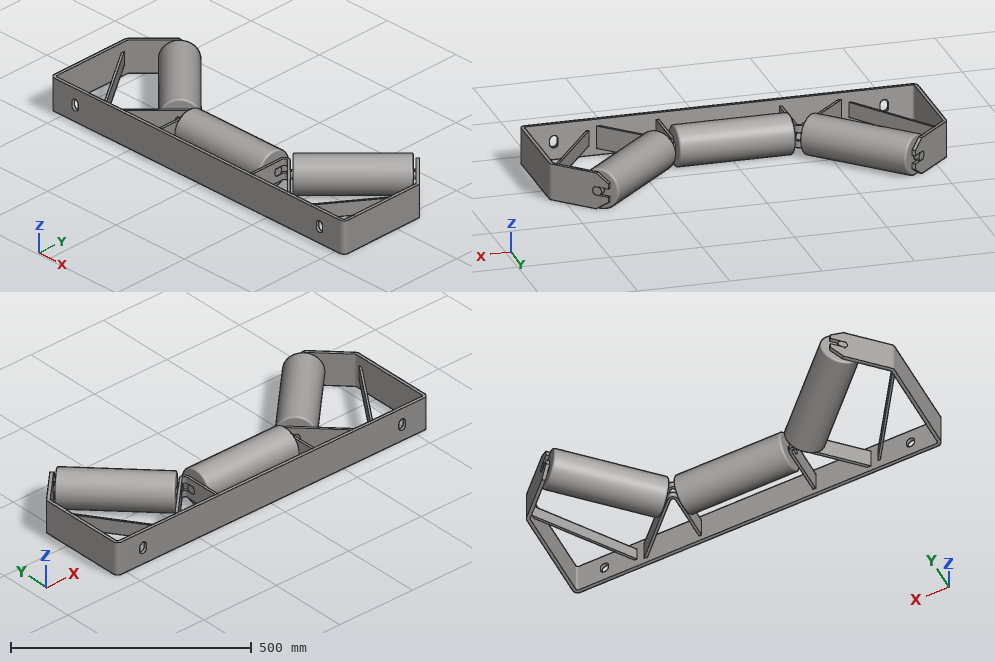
import cadquery as cq
import math


FRAME_LENGTH = 860.0
FRAME_WIDTH = 80.0
FRAME_THICKNESS = 8.0
BEND_RADIUS = 12.0
ARM_REACH = 27.0
TIP_CHAMFER_ALONG = 28.0
TIP_CHAMFER_ACROSS = 19.0
MOUNT_SLOT_SPACING = 715.5
MOUNT_SLOT_LENGTH = 27.5
MOUNT_SLOT_WIDTH = 18.0

ROLLER_DIAMETER = 89.0
ROLLER_LENGTH = 250.0
ROLLER_EDGE_RADIUS = 4.0
ROLLER_GAP = 5.0
TROUGH_ANGLE = 45.0
MID_ROLLER_Y = 101.5
SIDE_ROLLER_X = 254.0
SIDE_ROLLER_Y = 204.0

SHAFT_DIAMETER = 21.0
FLAT_SPACING = 18.0
FLAT_LEAD = 3.0

BRACKET_WIDTH = 50.0
BRACKET_THICKNESS = 6.0

STAY_WIDTH = 33.5
STAY_THICKNESS = 5.0
STAY_TOP_Y = 210.0
STAY_FOOT_X = 281.0

HALF_LENGTH = FRAME_LENGTH / 2
WALL_X = HALF_LENGTH - FRAME_THICKNESS
HALF_SPAN = ROLLER_LENGTH / 2 + ROLLER_GAP
DIAGONAL = math.sqrt(2)


def on_side_axis(along, across=0.0):
    """XY point measured from the middle of the right roller, along its axis and square to it.

    Positive across points towards the belt side of the trough.
    """
    angle = math.radians(TROUGH_ANGLE)
    x = SIDE_ROLLER_X + along * math.cos(angle) - across * math.sin(angle)
    y = SIDE_ROLLER_Y + along * math.sin(angle) + across * math.cos(angle)
    return x, y


def mirrored(points):
    """The same outline points on the left side, in reverse order."""
    return [(-x, y) for x, y in reversed(points)]


def plate(points, width):
    """XY outline extruded by width, centred on Z = 0."""
    return cq.Workplane("XY").polyline(points).close().extrude(width / 2, both=True)


def round_corner(body, point, radius):
    """Fillet the edge parallel to Z that stands on the XY point."""
    return body.edges(cq.selectors.NearestToPointSelector((*point, 0))).fillet(radius)


def place_on_side(body):
    """Move a body from the X axis onto the right roller axis."""
    return body.rotate((0, 0, 0), (0, 0, 1), TROUGH_ANGLE).translate((SIDE_ROLLER_X, SIDE_ROLLER_Y, 0))


def shaft(inner_reach, outer_reach):
    """Shaft along X with two flats at each end, reaching each way from the roller middle."""
    length = inner_reach + outer_reach
    body = cq.Workplane("YZ", origin=(-inner_reach, 0, 0)).circle(SHAFT_DIAMETER / 2).extrude(length)
    flat_start = HALF_SPAN - FLAT_LEAD
    round_middle = cq.Workplane("XY").box(2 * flat_start, SHAFT_DIAMETER, SHAFT_DIAMETER)
    flat_ends = cq.Workplane("XY").box(2 * length, SHAFT_DIAMETER, FLAT_SPACING)
    return body.intersect(round_middle.union(flat_ends))


def roller(inner_thickness, outer_thickness):
    """Roller along X whose shaft ends flush with the far faces of its two brackets."""
    shell = (
        cq.Workplane("YZ", origin=(-ROLLER_LENGTH / 2, 0, 0))
        .circle(ROLLER_DIAMETER / 2)
        .extrude(ROLLER_LENGTH)
        .faces("<X or >X")
        .edges()
        .fillet(ROLLER_EDGE_RADIUS)
    )
    return shell.union(shaft(HALF_SPAN + inner_thickness, HALF_SPAN + outer_thickness))


mid_roller = roller(BRACKET_THICKNESS, BRACKET_THICKNESS).translate((0, MID_ROLLER_Y, 0))
right_roller = place_on_side(roller(BRACKET_THICKNESS, FRAME_THICKNESS))


def arm_tip_cutters():
    """Open slot and two corner chamfers of the right arm."""
    face_along = HALF_SPAN + FRAME_THICKNESS / 2
    cut_depth = 2 * FRAME_THICKNESS
    half_width = FRAME_WIDTH / 2
    slot = cq.Workplane("XY").box(cut_depth, ARM_REACH, FLAT_SPACING)
    cutters = slot.translate((face_along, ARM_REACH / 2, 0))
    for side in (-1, 1):
        corner = [
            (ARM_REACH, side * half_width),
            (ARM_REACH - TIP_CHAMFER_ALONG, side * half_width),
            (ARM_REACH, side * (half_width - TIP_CHAMFER_ACROSS)),
        ]
        chamfer = cq.Workplane("YZ").polyline(corner).close().extrude(cut_depth / 2, both=True)
        cutters = cutters.union(chamfer.translate((face_along, 0, 0)))
    return place_on_side(cutters)


def make_frame():
    outer_span = HALF_SPAN + FRAME_THICKNESS
    arm_x, arm_y = on_side_axis(outer_span)
    bend_y = arm_y + arm_x - HALF_LENGTH
    inner_bend_y = bend_y - FRAME_THICKNESS * math.tan(math.radians(TROUGH_ANGLE / 2))
    base_corner = (HALF_LENGTH, 0)
    arm_corner = (HALF_LENGTH, bend_y)
    inner_base_corner = (WALL_X, FRAME_THICKNESS)
    inner_arm_corner = (WALL_X, inner_bend_y)
    outer = [base_corner, arm_corner, on_side_axis(outer_span, ARM_REACH)]
    inner = [on_side_axis(HALF_SPAN, ARM_REACH), inner_arm_corner, inner_base_corner]
    right_outline = outer + inner
    body = plate(right_outline + mirrored(right_outline), FRAME_WIDTH)

    for side in (-1, 1):
        for x, y in (base_corner, arm_corner):
            body = round_corner(body, (side * x, y), BEND_RADIUS)
        for x, y in (inner_base_corner, inner_arm_corner):
            body = round_corner(body, (side * x, y), BEND_RADIUS - FRAME_THICKNESS)

    mount_slots = (
        cq.Workplane("XZ")
        .pushPoints([(-MOUNT_SLOT_SPACING / 2, 0), (MOUNT_SLOT_SPACING / 2, 0)])
        .slot2D(MOUNT_SLOT_LENGTH, MOUNT_SLOT_WIDTH, 90)
        .extrude(-FRAME_THICKNESS)
    )
    tip = arm_tip_cutters().union(right_roller)
    return body.cut(mount_slots).cut(tip).cut(tip.mirror("YZ"))


def make_bracket():
    """Right folded bracket: one upright leg, one sloping leg and a slot over the fold."""
    face_x, face_y = on_side_axis(-HALF_SPAN)
    outer_sum = face_x + face_y
    inner_sum = outer_sum - BRACKET_THICKNESS * DIAGONAL
    outer_x = HALF_SPAN
    inner_x = HALF_SPAN + BRACKET_THICKNESS
    outer_apex = (outer_x, outer_sum - outer_x)
    inner_apex = (inner_x, inner_sum - inner_x)
    outline = [
        (outer_x, FRAME_THICKNESS),
        outer_apex,
        (outer_sum - FRAME_THICKNESS, FRAME_THICKNESS),
        (inner_sum - FRAME_THICKNESS, FRAME_THICKNESS),
        inner_apex,
        (inner_x, FRAME_THICKNESS),
    ]
    body = plate(outline, BRACKET_WIDTH)
    body = round_corner(body, outer_apex, BEND_RADIUS)
    body = round_corner(body, inner_apex, BEND_RADIUS - BRACKET_THICKNESS)

    axes_cross = (face_x - (face_y - MID_ROLLER_Y), MID_ROLLER_Y)
    slot_outline = [axes_cross, (outer_x, MID_ROLLER_Y), outer_apex, (face_x, face_y)]
    slot = plate(slot_outline, FLAT_SPACING)
    return body.cut(slot).cut(mid_roller).cut(right_roller)


def make_stay():
    """Right stay between the frame wall and the frame base, trimmed flush to both."""
    rise = STAY_TOP_Y - FRAME_THICKNESS
    run = WALL_X - STAY_FOOT_X
    slant = math.hypot(rise, run)
    outline = [
        (STAY_FOOT_X, FRAME_THICKNESS),
        (WALL_X, STAY_TOP_Y),
        (WALL_X, STAY_TOP_Y - STAY_THICKNESS * slant / run),
        (STAY_FOOT_X + STAY_THICKNESS * slant / rise, FRAME_THICKNESS),
    ]
    return plate(outline, STAY_WIDTH)


frame = make_frame()

bodies = [frame.solids().val(), mid_roller.solids().val()]
for right_body in (right_roller, make_bracket(), make_stay()):
    bodies.append(right_body.solids().val())
    bodies.append(right_body.mirror("YZ").solids().val())

result = cq.Compound.makeCompound(bodies)